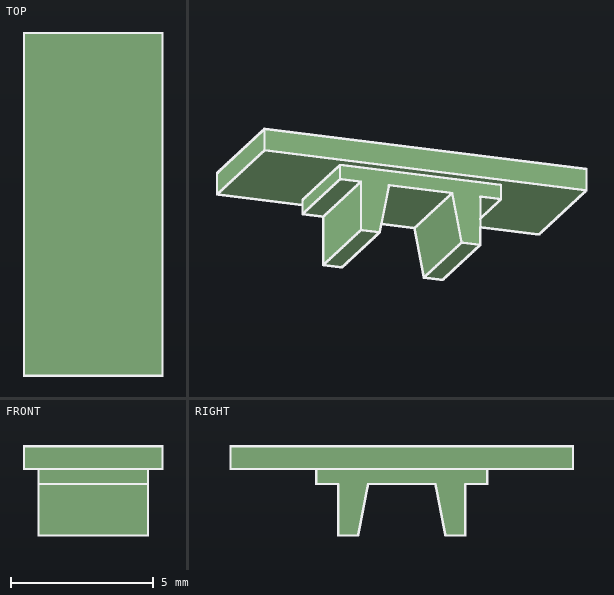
import cadquery as cq

plate_width = 4.85
plate_length = 12.0
plate_thickness = 0.8

pad_width = 3.85
pad_length = 6.0
pad_thickness = 0.53

leg_height = 1.8
leg_span = 4.45
leg_root = 1.05
leg_tip = 0.7

pad_bottom = -pad_thickness
leg_bottom = pad_bottom - leg_height


def make_plate():
    """Flat plate standing on Z = 0."""
    return cq.Workplane("XY").box(
        plate_width, plate_length, plate_thickness, centered=(True, True, False)
    )


def make_pad():
    """Rectangular pad hanging below the plate."""
    pad = cq.Workplane("XY").box(
        pad_width, pad_length, pad_thickness, centered=(True, True, False)
    )
    return pad.translate((0, 0, pad_bottom))


def make_leg(side):
    """Leg on the +Y (side = 1) or -Y (side = -1) end of the pad."""
    outer = leg_span / 2
    profile = [
        (side * outer, pad_bottom),
        (side * outer, leg_bottom),
        (side * (outer - leg_tip), leg_bottom),
        (side * (outer - leg_root), pad_bottom),
    ]
    return cq.Workplane("YZ").polyline(profile).close().extrude(pad_width / 2, both=True)


result = make_plate().union(make_pad())
for side in (-1, 1):
    result = result.union(make_leg(side))